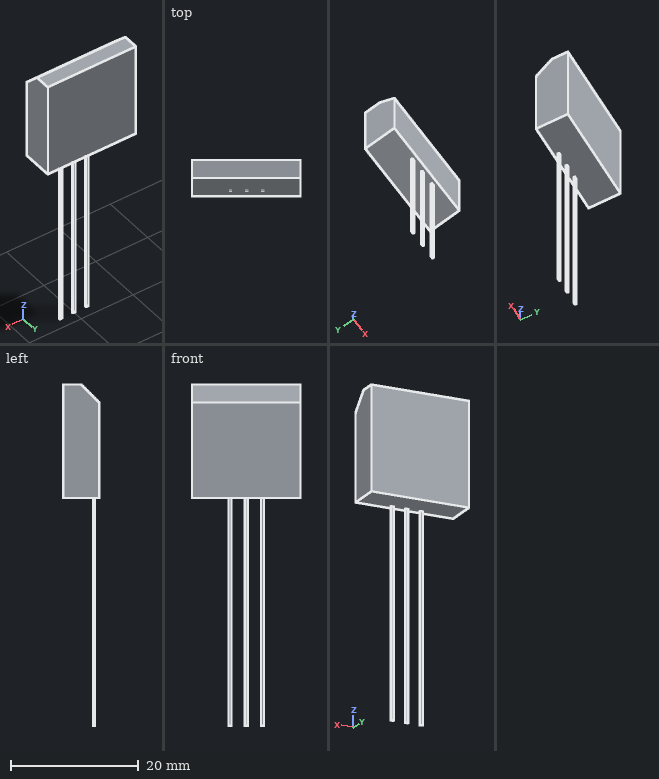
import cadquery as cq

housing_width = 17.0
housing_depth = 5.7
housing_height = 17.8
bevel = housing_depth / 2

overall_height = 53.4
lead_length = overall_height - housing_height
lead_width = 0.5
lead_thickness = 0.25
lead_pitch = 2.54
lead_count = 3
lead_setback = 0.85

front_y = -housing_depth / 2
back_y = housing_depth / 2
lead_y = front_y + lead_setback


def make_housing():
    """Extrude the bevelled side profile across the width."""
    return (
        cq.Workplane("YZ")
        .moveTo(front_y, 0)
        .lineTo(back_y, 0)
        .lineTo(back_y, housing_height)
        .lineTo(front_y + bevel, housing_height)
        .lineTo(front_y, housing_height - bevel)
        .close()
        .extrude(housing_width / 2, both=True)
    )


def make_lead(x):
    """Rectangular lead whose top end butts against the housing underside."""
    return (
        cq.Workplane("XY")
        .center(x, lead_y)
        .rect(lead_width, lead_thickness)
        .extrude(-lead_length)
    )


housing = make_housing()

leads = []
for index in range(lead_count):
    lead_x = (index - (lead_count - 1) / 2) * lead_pitch
    leads.append(make_lead(lead_x))

result = cq.Compound.makeCompound([housing.val(), *[lead.val() for lead in leads]])